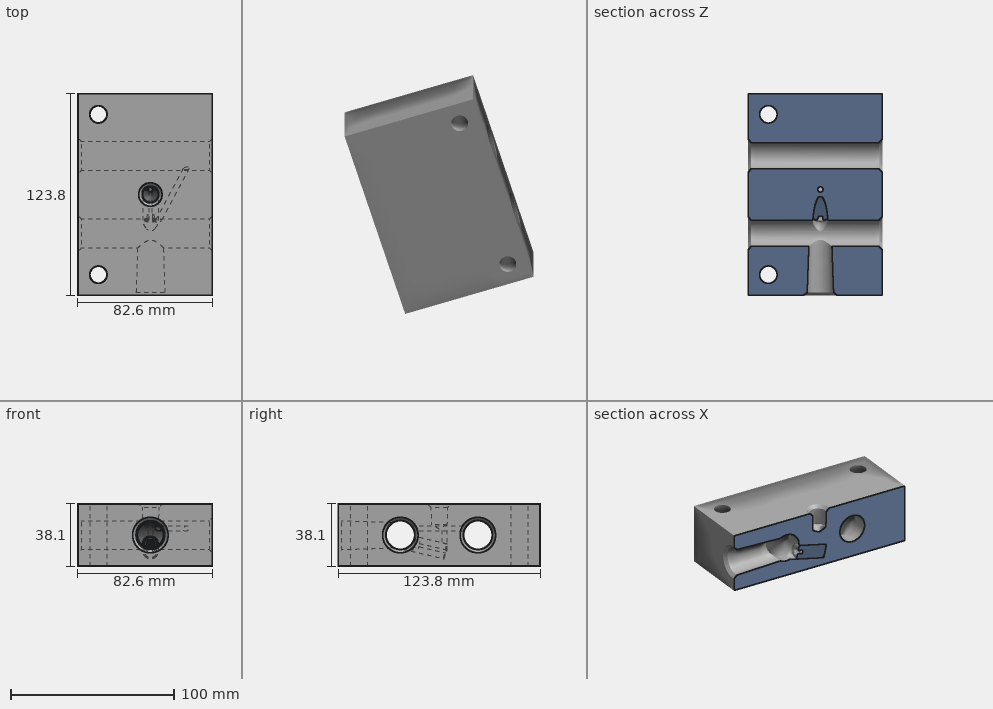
import cadquery as cq
import math

BLOCK_X = 82.6
BLOCK_Y = 123.8
BLOCK_Z = 38.1

MOUNT_HOLE_RADIUS = 5.2
MOUNT_HOLE_INSET = 12.6
MOUNT_HOLE_X = MOUNT_HOLE_INSET - BLOCK_X / 2
MOUNT_HOLE_Y = 49.2

BORE_RADIUS = 8.8
BORE_RIM_RADIUS = 10.9
BORE_Y = 23.8

PORT_X = 3.2
PIPE_TAPER = 1 / 32
FRONT_RIM_RADIUS = BORE_RIM_RADIUS
FRONT_PORT_RADIUS = 8.9
FRONT_PORT_DEPTH = BLOCK_Y / 2 - BORE_Y
TOP_RIM_RADIUS = 7.2
TOP_PORT_RADIUS = 5.2
TOP_PORT_DEPTH = 12.4
DRILL_TIP_HALF_ANGLE = 59

CROSS_RADIUS = 1.6
CROSS_ANGLE = 28
CROSS_X = 3.8
CROSS_Z = 4.1

DROP_RADIUS = 1.5
DROP_Y = 3.1

SCREW_TILT = 13
SCREW_FACE_Y = -15.9
SCREW_FACE_Z = -5.3
SCREW_RADIUS = 4.7
SCREW_LENGTH = 20.3
CHAMFER_RADIAL = 0.9
CHAMFER_AXIAL = 0.5
SOCKET_RIM_RADIUS = 2.6
SOCKET_RIM_DEPTH = 0.4
HEX_SIDES = 6
HEX_ACROSS_FLATS = 4.0
HEX_DEPTH = 3.6
ORIFICE_RADIUS = 1.0

tilt = math.radians(SCREW_TILT)
screw_plane = cq.Plane(
    origin=(PORT_X, SCREW_FACE_Y, SCREW_FACE_Z),
    xDir=(1, 0, 0),
    normal=(0, math.cos(tilt), -math.sin(tilt)),
)


def port_cutter(mouth, inward, rim_radius, port_radius, depth, drill_tip=False):
    """Countersunk, tapered port that enters at mouth; optionally ends in a drill point."""
    countersink = rim_radius - port_radius
    end_radius = port_radius - depth * PIPE_TAPER
    profile = cq.Workplane("XZ").lineTo(rim_radius, 0)
    profile = profile.lineTo(port_radius - countersink * PIPE_TAPER, countersink)
    profile = profile.lineTo(end_radius, depth)
    tip = end_radius / math.tan(math.radians(DRILL_TIP_HALF_ANGLE)) if drill_tip else 0
    profile = profile.lineTo(0, depth + tip).close()
    cutter = profile.revolve(360, (0, 0, 0), (0, 1, 0)).val()
    location = cq.Location(cq.Plane(origin=mouth, normal=inward))
    return cq.Workplane(obj=cutter.moved(location))


def main_bore(y):
    """Bore along X, right through the block, countersunk at each end."""
    bore = cq.Workplane("YZ").center(y, 0).circle(BORE_RADIUS).extrude(BLOCK_X / 2, both=True)
    for side in (-1, 1):
        countersink = cq.Solid.makeCone(
            BORE_RIM_RADIUS,
            BORE_RADIUS,
            BORE_RIM_RADIUS - BORE_RADIUS,
            pnt=cq.Vector(side * BLOCK_X / 2, y, 0),
            dir=cq.Vector(-side, 0, 0),
        )
        bore = bore.union(cq.Workplane(obj=countersink))
    return bore


def front_port():
    """Tapered port that opens into the front bore."""
    mouth = (PORT_X, -BLOCK_Y / 2, 0)
    return port_cutter(mouth, (0, 1, 0), FRONT_RIM_RADIUS, FRONT_PORT_RADIUS, FRONT_PORT_DEPTH)


def top_port():
    """Blind tapered port with a drill point."""
    mouth = (PORT_X, 0, BLOCK_Z / 2)
    return port_cutter(mouth, (0, 0, -1), TOP_RIM_RADIUS, TOP_PORT_RADIUS, TOP_PORT_DEPTH, drill_tip=True)


def cross_passage():
    """Straight slanted hole from the axis of the front bore to that of the rear bore."""
    angle = math.radians(CROSS_ANGLE)
    length = 2 * BORE_Y / math.cos(angle)
    plane = cq.Plane(
        origin=(CROSS_X, -BORE_Y, CROSS_Z),
        xDir=(0, 0, 1),
        normal=(math.sin(angle), math.cos(angle), 0),
    )
    return cq.Workplane(plane).circle(CROSS_RADIUS).extrude(length)


def screw_hole():
    """Blind hole for the set screw, drilled in through the front port and front bore."""
    clearance = (SCREW_FACE_Y + BORE_Y) / math.cos(tilt)
    hole = cq.Workplane(screw_plane).workplane(offset=-clearance).circle(SCREW_RADIUS)
    return hole.extrude(clearance + SCREW_LENGTH)


def drop_passage():
    """Vertical hole from the foot of the taper in the top port down to the screw axis."""
    top_z = BLOCK_Z / 2 - TOP_PORT_DEPTH
    bottom_z = SCREW_FACE_Z - (DROP_Y - SCREW_FACE_Y) * math.tan(tilt)
    hole = cq.Workplane("XY", origin=(PORT_X, DROP_Y, bottom_z)).circle(DROP_RADIUS)
    return hole.extrude(top_z - bottom_z)


def make_block():
    block = cq.Workplane("XY").box(BLOCK_X, BLOCK_Y, BLOCK_Z)
    mount_points = [(MOUNT_HOLE_X, -MOUNT_HOLE_Y), (MOUNT_HOLE_X, MOUNT_HOLE_Y)]
    mount_holes = cq.Workplane("XY").pushPoints(mount_points).circle(MOUNT_HOLE_RADIUS)
    block = block.cut(mount_holes.extrude(BLOCK_Z / 2, both=True))

    for y in (-BORE_Y, BORE_Y):
        block = block.cut(main_bore(y))

    block = block.cut(front_port()).cut(top_port())
    return block.cut(cross_passage()).cut(screw_hole()).cut(drop_passage())


def make_set_screw():
    """Plug with both ends chamfered, a hex socket and an orifice along its axis."""
    end_radius = SCREW_RADIUS - CHAMFER_RADIAL
    outline = [
        (0, 0),
        (end_radius, 0),
        (SCREW_RADIUS, CHAMFER_AXIAL),
        (SCREW_RADIUS, SCREW_LENGTH - CHAMFER_AXIAL),
        (end_radius, SCREW_LENGTH),
        (0, SCREW_LENGTH),
    ]
    screw = cq.Workplane("XZ").polyline(outline).close().revolve(360, (0, 0, 0), (0, 1, 0))
    across_corners = HEX_ACROSS_FLATS / math.cos(math.pi / HEX_SIDES)
    socket_rim = cq.Solid.makeCone(SOCKET_RIM_RADIUS, HEX_ACROSS_FLATS / 2, SOCKET_RIM_DEPTH)
    screw = screw.cut(cq.Workplane(obj=socket_rim))
    screw = screw.cut(cq.Workplane("XY").polygon(HEX_SIDES, across_corners).extrude(HEX_DEPTH))
    screw = screw.cut(cq.Workplane("XY").circle(ORIFICE_RADIUS).extrude(SCREW_LENGTH))
    return screw.solids().val().moved(cq.Location(screw_plane))


block = make_block()
set_screw = make_set_screw()
result = cq.Compound.makeCompound([block.solids().val(), set_screw])